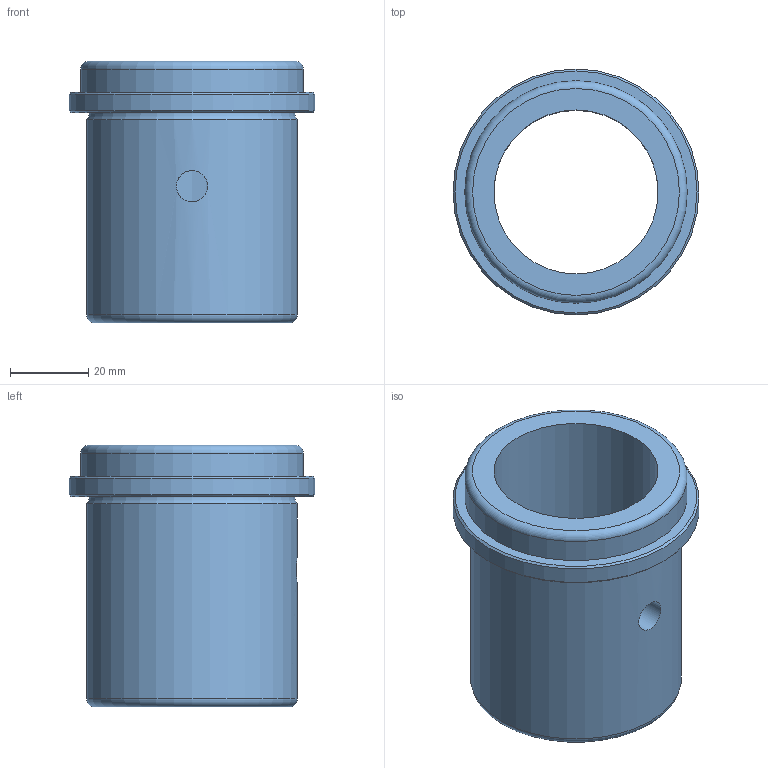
import cadquery as cq

total_height = 67.0
bore_radius = 42.0 / 2
body_radius = 54.0 / 2
flange_radius = 63.0 / 2
head_radius = 57.0 / 2

head_height = 8.0
flange_thickness = 5.2
relief_height = 1.8
flange_top = total_height - head_height
flange_bottom = flange_top - flange_thickness
body_top = flange_bottom - relief_height

end_fillet = 2.0
flange_chamfer = 0.5

relief_depth = 0.7
relief_radius = body_radius - relief_depth
relief_arc_radius = (relief_height**2 + relief_depth**2) / (2 * relief_depth)

hole_diameter = 8.0
hole_height = 35.0


def make_sleeve():
    """Revolve the half section of the flanged sleeve about Z."""
    profile = (
        cq.Workplane("XZ")
        .moveTo(bore_radius, 0)
        .lineTo(body_radius - end_fillet, 0)
        .radiusArc((body_radius, end_fillet), -end_fillet)
        .lineTo(body_radius, body_top)
        .radiusArc((relief_radius, flange_bottom), relief_arc_radius)
        .lineTo(flange_radius - flange_chamfer, flange_bottom)
        .lineTo(flange_radius, flange_bottom + flange_chamfer)
        .lineTo(flange_radius, flange_top - flange_chamfer)
        .lineTo(flange_radius - flange_chamfer, flange_top)
        .lineTo(head_radius, flange_top)
        .lineTo(head_radius, total_height - end_fillet)
        .radiusArc((head_radius - end_fillet, total_height), -end_fillet)
        .lineTo(bore_radius, total_height)
        .close()
    )
    return profile.revolve(360, (0, 0, 0), (0, 1, 0))


def make_hole_cutter():
    """Cylinder from the axis out through the -Y wall only."""
    return (
        cq.Workplane("XZ")
        .center(0, hole_height)
        .circle(hole_diameter / 2)
        .extrude(flange_radius)
    )


result = make_sleeve().cut(make_hole_cutter())